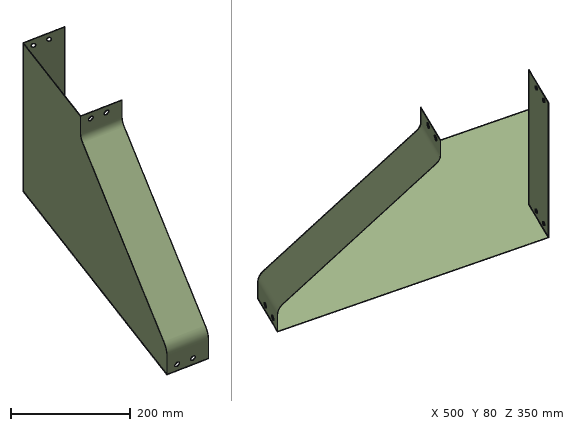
import cadquery as cq

LENGTH = 500.0
DEPTH = 80.0
HEIGHT = 350.0
SHEET = 0.8

TOP_LENGTH = 200.0
SLOPE_DROP = 240.0
SLOPE_END_Z = 59.3
SLOPE_TOP_Z = SLOPE_END_Z + SLOPE_DROP
INNER_BEND_RADIUS = 20.0
OUTER_BEND_RADIUS = 30.0

SLOT_WIDTH = 7.0
SLOT_LENGTH = 10.0
SLOT_TILT = 45.0
SLOT_EDGE_DISTANCE = 15.0
SLOT_YS = (20.0, 50.0)
SLOT_ZS = (SLOT_EDGE_DISTANCE, HEIGHT - SLOT_EDGE_DISTANCE)


def round_corner(solid, x, z, radius):
    """Round the depth-wise edge that stands at the sharp corner (x, z)."""
    reach = 1.0
    corner = cq.selectors.BoxSelector(
        (x - reach, -reach, z - reach),
        (x + reach, DEPTH + reach, z + reach),
    )
    return solid.edges("|Y").edges(corner).fillet(radius)


def make_envelope():
    """Solid block with the outline of the front panel, full depth."""
    outline = [
        (0, 0),
        (LENGTH, 0),
        (LENGTH, SLOPE_END_Z),
        (TOP_LENGTH, SLOPE_TOP_Z),
        (TOP_LENGTH, HEIGHT),
        (0, HEIGHT),
    ]
    block = cq.Workplane("XZ").polyline(outline).close().extrude(-DEPTH)
    block = round_corner(block, TOP_LENGTH, SLOPE_TOP_Z, INNER_BEND_RADIUS)
    return round_corner(block, LENGTH, SLOPE_END_Z, OUTER_BEND_RADIUS)


def hollow_out(block):
    """Leave the front panel and its flanges; open the back, bottom and top."""
    return block.faces(">Y or <Z or >Z").shell(-SHEET)


def cut_slots(solid, start_x, end_x, tilt):
    """Cut the tilted slots through every flange between start_x and end_x."""
    centres = [(y, z) for y in SLOT_YS for z in SLOT_ZS]
    cutter = (
        cq.Workplane("YZ", origin=(start_x, 0, 0))
        .pushPoints(centres)
        .slot2D(SLOT_LENGTH, SLOT_WIDTH, tilt)
        .extrude(end_x - start_x)
    )
    return solid.cut(cutter)


split_x = TOP_LENGTH / 2
result = hollow_out(make_envelope())
result = cut_slots(result, 0, split_x, -SLOT_TILT)
result = cut_slots(result, split_x, LENGTH, SLOT_TILT)